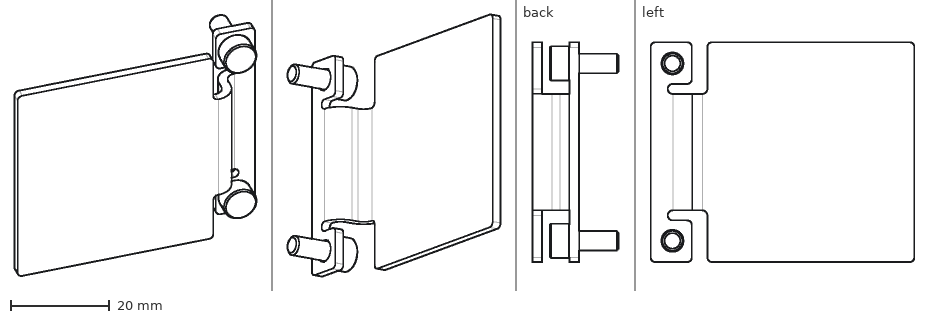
import cadquery as cq


length = 53.5
height = 44.6
thickness = 2.0
tab_face_x = 8.0
panel_back_x = 17.5
bend_start = 4.5
inner_bend_radius = thickness
outer_bend_radius = inner_bend_radius + thickness
second_bend_y = -bend_start - inner_bend_radius - outer_bend_radius
corner_radius = 1.0

tab_width = 8.4
tab_height = 8.5
slot_height = 2.0
panel_start = 11.5
bridge_half_height = height / 2 - tab_height - slot_height

shank_diameter = 4.0
clearance_diameter = 4.5
head_diameter = 7.0
head_length = 4.0
head_chamfer = 0.3
seat_chamfer = 0.15
tip_chamfer = 0.45
screw_y = -4.45
screw_z = height / 2 - 4.35


def make_bridge():
    """S-bend between tabs and panel, with a strip of each, as tall as the bridge."""
    tab_back_x = tab_face_x + thickness
    panel_face_x = panel_back_x - thickness
    web_rear_y = -bend_start - inner_bend_radius
    web_front_y = -bend_start - outer_bend_radius
    first_center_x = tab_face_x + outer_bend_radius
    second_center_x = panel_back_x - outer_bend_radius
    section = (
        cq.Workplane("XY", origin=(0, 0, -bridge_half_height))
        .moveTo(tab_face_x, 0)
        .lineTo(tab_face_x, -bend_start)
        .radiusArc((first_center_x, web_front_y), -outer_bend_radius)
        .lineTo(second_center_x, web_front_y)
        .radiusArc((panel_face_x, second_bend_y), inner_bend_radius)
        .lineTo(panel_face_x, -length)
        .lineTo(panel_back_x, -length)
        .lineTo(panel_back_x, second_bend_y)
        .radiusArc((second_center_x, web_rear_y), -outer_bend_radius)
        .lineTo(first_center_x, web_rear_y)
        .radiusArc((tab_back_x, -bend_start), inner_bend_radius)
        .lineTo(tab_back_x, 0)
        .close()
    )
    return section.extrude(2 * bridge_half_height)


def make_slab(face_x, rear_y, front_y, slab_height):
    """Flat piece of sheet between two Y positions, centred in Z."""
    return (
        cq.Workplane("YZ", origin=(face_x, (rear_y + front_y) / 2, 0))
        .rect(rear_y - front_y, slab_height)
        .extrude(thickness)
    )


def make_sheet():
    """Flat tab strip and flat panel joined by the bridge, before trimming the outline."""
    gap = make_slab(tab_face_x, -bend_start, -tab_width, 2 * bridge_half_height)
    tab_strip = make_slab(tab_face_x, 0, -tab_width, height).cut(gap)
    panel = make_slab(panel_back_x - thickness, second_bend_y, -length, height)
    return tab_strip.union(make_bridge()).union(panel)


def make_notch(side):
    """L-shaped notch in YZ at the upper (side = 1) or lower (side = -1) edge."""
    slot_top = bridge_half_height + slot_height
    corners = [
        (-bend_start, bridge_half_height),
        (-panel_start, bridge_half_height),
        (-panel_start, height / 2),
        (-tab_width, height / 2),
        (-tab_width, slot_top),
        (-bend_start, slot_top),
    ]
    points = [(y, side * z) for y, z in corners]
    notch = cq.Workplane("YZ").polyline(points).close().extrude(panel_back_x)
    round_end = (
        cq.Workplane("YZ")
        .center(-bend_start, side * (bridge_half_height + slot_height / 2))
        .circle(slot_height / 2)
        .extrude(panel_back_x)
    )
    return notch, round_end


def make_bracket():
    blank = cq.Workplane("YZ").center(-length / 2, 0).rect(length, height).extrude(panel_back_x)
    round_ends = []
    for side in (1, -1):
        notch, round_end = make_notch(side)
        blank = blank.cut(notch)
        round_ends.append(round_end)

    slot_end_limits = cq.selectors.BoxSelector(
        (-0.55, -bend_start - 0.55, -height / 2 + 0.55),
        (panel_back_x + 0.55, -bend_start + 0.55, height / 2 - 0.55),
    )
    corner_edges = cq.StringSyntaxSelector("|X") - slot_end_limits
    blank = blank.edges(corner_edges).fillet(corner_radius)
    for round_end in round_ends:
        blank = blank.cut(round_end)

    screw_holes = (
        cq.Workplane("YZ")
        .pushPoints([(screw_y, screw_z), (screw_y, -screw_z)])
        .circle(clearance_diameter / 2)
        .extrude(panel_back_x)
    )
    return make_sheet().intersect(blank).cut(screw_holes)


def make_screw(z):
    """Cylinder-head screw whose head rests on the back of a tab."""
    seat_x = tab_face_x + thickness
    shank = (
        cq.Workplane("YZ", origin=(0, screw_y, z))
        .circle(shank_diameter / 2)
        .extrude(seat_x)
        .faces("<X")
        .chamfer(tip_chamfer)
    )
    head = (
        cq.Workplane("YZ", origin=(seat_x, screw_y, z))
        .circle(head_diameter / 2)
        .extrude(head_length)
        .faces(">X")
        .chamfer(head_chamfer)
        .faces("<X")
        .chamfer(seat_chamfer)
    )
    return shank.union(head)


bracket = make_bracket()
screws = [make_screw(z) for z in (screw_z, -screw_z)]

result = cq.Compound.makeCompound([bracket.val(), *[screw.val() for screw in screws]])